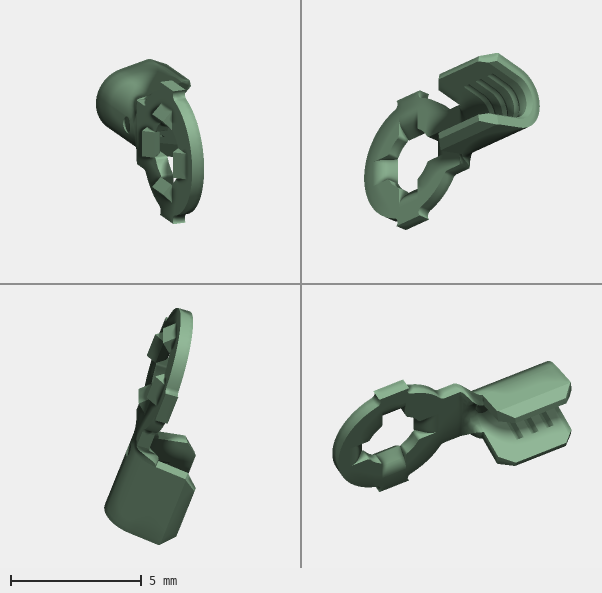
import cadquery as cq
import math


quarter_turns = (0, 90, 180, 270)

sheet = 0.5
ring_radius = 2.415
neck_half_width = 1.275
neck_end_x = -2.82
tab_half_width = 0.58
total_height = 5.33
tab_half_height = total_height / 2
outline_fillet = 0.22

hole_radius = 1.185
hole_fillet = 0.15

tooth_width = 1.02
tooth_height = 0.385
tooth_apex = 1.46
tooth_bend_angle = math.radians(45)
tooth_bend_radius = 0.15
tooth_base_end = tooth_apex + tooth_height / math.tan(tooth_bend_angle)
tooth_root = tooth_base_end + tooth_bend_radius * math.tan(tooth_bend_angle / 2)

total_length = 9.14
barrel_length = 3.185
barrel_radius = 1.285
flank_angle = math.radians(12.5)
flank_length = 1.715
tip_corner_length = 0.5
tip_bevel_length = 0.455
tip_bevel_depth = 0.25
mouth_chamfer_depth = 0.13
mouth_chamfer_length = 0.22
barrel_start_x = ring_radius - total_length
barrel_end_x = barrel_start_x + barrel_length

groove_count = 3
groove_width = 0.3
groove_depth = 0.11
groove_pitch = 0.65
first_groove_x = barrel_start_x + 0.74
groove_reach = 0.83

dimple_radius = 0.325
dimple_depth = 0.09
dimple_x = barrel_end_x - 0.28

blend_sections = 8


def fillet_beside_line(circle_radius, side, radius):
    """Fillet between a circle about the origin and the line u = side outside it.

    Returns the fillet centre and its tangent point on the circle, as (u, v)."""
    reach = circle_radius + radius
    centre = (side + radius, math.sqrt(reach**2 - (side + radius) ** 2))
    on_circle = (centre[0] * circle_radius / reach, centre[1] * circle_radius / reach)
    return centre, on_circle


def arc_middle(centre, start, end):
    """Middle point of the shorter arc about centre from start to end."""
    radius = math.dist(centre, start)
    u = start[0] + end[0] - 2 * centre[0]
    v = start[1] + end[1] - 2 * centre[1]
    length = math.hypot(u, v)
    return (centre[0] + radius * u / length, centre[1] + radius * v / length)


def extrude_back(sketch_wire, depth):
    """Extrude an XZ outline from y = 0 towards +Y."""
    return sketch_wire.extrude(-depth)


def make_lobe(fillet_centre, foot, arc_end, height):
    """Projection on a circle with a fillet arc on each side, from foot on the circle to arc_end."""
    middle = arc_middle(fillet_centre, foot, arc_end)
    outline = cq.Workplane("XZ").moveTo(0, 0).lineTo(*foot).threePointArc(middle, arc_end)
    if height > arc_end[1]:
        outline = outline.lineTo(arc_end[0], height).lineTo(-arc_end[0], height)
    outline = (
        outline.lineTo(-arc_end[0], arc_end[1])
        .threePointArc((-middle[0], middle[1]), (-foot[0], foot[1]))
        .close()
    )
    return extrude_back(outline, sheet)


def make_tab():
    """Tab on the ring whose fillets run on to its outer edge."""
    centre, foot = fillet_beside_line(ring_radius, tab_half_width, outline_fillet)
    rise = tab_half_height - centre[1]
    corner = (centre[0] - math.sqrt(outline_fillet**2 - rise**2), tab_half_height)
    return make_lobe(centre, foot, corner, tab_half_height)


def make_slot():
    """Straight slot that a tooth is bent out of, rounded where it meets the hole."""
    centre, foot = fillet_beside_line(hole_radius, tooth_width / 2, hole_fillet)
    return make_lobe(centre, foot, (tooth_width / 2, centre[1]), tooth_root)


def about_ring_axis(shape, degrees):
    return shape.rotate((0, 0, 0), (0, 1, 0), degrees)


def make_neck():
    """Neck with a fillet on each side where it meets the ring."""
    centre, foot = fillet_beside_line(ring_radius, neck_half_width, outline_fillet)
    start = (neck_half_width, centre[1])
    middle = arc_middle(centre, start, foot)
    outline = (
        cq.Workplane("XZ")
        .moveTo(0, 0)
        .lineTo(-foot[1], foot[0])
        .threePointArc((-middle[1], middle[0]), (-start[1], start[0]))
        .lineTo(neck_end_x, neck_half_width)
        .lineTo(neck_end_x, -neck_half_width)
        .lineTo(-start[1], -start[0])
        .threePointArc((-middle[1], -middle[0]), (-foot[1], -foot[0]))
        .close()
    )
    return extrude_back(outline, sheet)


def make_hole():
    """Round hole with a slot for each tooth."""
    hole = extrude_back(cq.Workplane("XZ").circle(hole_radius), sheet)
    for degrees in quarter_turns:
        hole = hole.union(about_ring_axis(make_slot(), degrees))
    return hole


def make_plate():
    plate = extrude_back(cq.Workplane("XZ").circle(ring_radius), sheet).union(make_neck())
    for degrees in (0, 180):
        plate = plate.union(about_ring_axis(make_tab(), degrees))
    return plate.cut(make_hole())


def make_tooth():
    """Finger bent forward from the end of the +Z slot; the square finger end leaves a sharp ridge."""
    across = (math.cos(tooth_bend_angle), math.sin(tooth_bend_angle))
    bend_centre = (-tooth_bend_radius, tooth_root)

    def bend_point(radius):
        return (bend_centre[0] + radius * across[0], bend_centre[1] - radius * across[1])

    front_root = (0, tooth_root)
    back_root = (sheet, tooth_root)
    front_bend = bend_point(tooth_bend_radius)
    back_bend = bend_point(tooth_bend_radius + sheet)
    ridge = (-tooth_height, tooth_apex)
    inner_edge = (ridge[0] + sheet * across[0], ridge[1] - sheet * across[1])
    return (
        cq.Workplane("YZ")
        .moveTo(*back_root)
        .threePointArc(arc_middle(bend_centre, back_root, back_bend), back_bend)
        .lineTo(*inner_edge)
        .lineTo(*ridge)
        .lineTo(*front_bend)
        .threePointArc(arc_middle(bend_centre, front_bend, front_root), front_root)
        .close()
        .extrude(tooth_width / 2, both=True)
    )


def flank_point(depth, along):
    """Point of the +Z flank in (y, z), at a depth below its outer face and a distance past the bend."""
    radius = barrel_radius - depth
    y = barrel_radius - radius * math.sin(flank_angle) + along * math.cos(flank_angle)
    z = radius * math.cos(flank_angle) + along * math.sin(flank_angle)
    return (y, z)


def mirrored(point):
    return (point[0], -point[1])


def u_outline(x, outer_depth, inner_depth, along):
    """U-shaped band across the barrel between two depths below the outer face."""
    outer_bend = flank_point(outer_depth, 0)
    inner_bend = flank_point(inner_depth, 0)
    outer_tip = flank_point(outer_depth, along)
    inner_tip = flank_point(inner_depth, along)
    return (
        cq.Workplane("YZ", origin=(x, 0, 0))
        .moveTo(*outer_tip)
        .lineTo(*outer_bend)
        .threePointArc((outer_depth, 0), mirrored(outer_bend))
        .lineTo(*mirrored(outer_tip))
        .lineTo(*mirrored(inner_tip))
        .lineTo(*mirrored(inner_bend))
        .threePointArc((inner_depth, 0), inner_bend)
        .lineTo(*inner_tip)
        .close()
    )


def make_inner_relief(sections, along):
    """Cutter into the inside of the barrel, ruled between (x, depth of cut) sections."""
    overlap = 0.1
    wires = [u_outline(x, sheet - depth, sheet + overlap, along).val() for x, depth in sections]
    return cq.Workplane(obj=cq.Solid.makeLoft(wires, True))


def make_mouth_chamfer():
    """Bevel along the inner edge of the open barrel end."""
    sections = [(barrel_start_x, mouth_chamfer_depth), (barrel_start_x + mouth_chamfer_length, 0)]
    return make_inner_relief(sections, flank_length)


def make_groove(x):
    """V-shaped serration around the inside of the barrel."""
    sections = [(x - groove_width / 2, 0), (x, groove_depth), (x + groove_width / 2, 0)]
    return make_inner_relief(sections, groove_reach)


def make_tip_bevel():
    """Wedge that thins the +Z flank from its outer face towards the tip."""
    return (
        cq.Workplane("YZ", origin=(barrel_start_x, 0, 0))
        .polyline(
            [
                flank_point(0, flank_length - tip_bevel_length),
                flank_point(-sheet, flank_length - tip_bevel_length),
                flank_point(-sheet, flank_length),
                flank_point(tip_bevel_depth, flank_length),
            ]
        )
        .close()
        .extrude(barrel_length)
    )


def make_tip_corner(end_x, inward):
    """45 degree cut across one tip corner of the +Z flank, square to the flank."""
    cut_depth = 3 * sheet
    flank_plane = cq.Plane(
        origin=(end_x, *flank_point(-sheet, flank_length)),
        xDir=(1, 0, 0),
        normal=(0, math.sin(flank_angle), -math.cos(flank_angle)),
    )
    return (
        cq.Workplane(flank_plane)
        .polyline([(0, 0), (inward * tip_corner_length, 0), (0, tip_corner_length)])
        .close()
        .extrude(cut_depth)
    )


def make_barrel():
    barrel = u_outline(barrel_start_x, 0, sheet, flank_length).extrude(barrel_length)
    barrel = barrel.cut(make_mouth_chamfer())
    tip_cuts = [
        make_tip_bevel(),
        make_tip_corner(barrel_start_x, 1),
        make_tip_corner(barrel_end_x, -1),
    ]
    for tip in tip_cuts:
        barrel = barrel.cut(tip).cut(tip.mirror("XY"))
    for index in range(groove_count):
        barrel = barrel.cut(make_groove(first_groove_x + index * groove_pitch))
    return barrel


def blend_section(fraction):
    """Wire across the blend: a bent strip that flattens smoothly as fraction goes from 0 to 1."""
    bend_y, bend_z = flank_point(0, 0)
    ease = (1 - math.cos(math.pi * fraction)) / 2
    x = barrel_end_x + fraction * (neck_end_x - barrel_end_x)
    half_width = bend_z + ease * (neck_half_width - bend_z)
    half_angle = 2 * math.atan2(bend_y * (1 - ease), half_width)
    rise = half_width * math.tan(half_angle / 2)
    outer = (rise, half_width)
    inner = (rise + sheet * math.cos(half_angle), half_width - sheet * math.sin(half_angle))
    section = cq.Workplane("YZ", origin=(x, 0, 0)).moveTo(*outer)
    if fraction < 1:
        section = (
            section.threePointArc((0, 0), mirrored(outer))
            .lineTo(*mirrored(inner))
            .threePointArc((sheet, 0), inner)
        )
    else:
        section = section.lineTo(*mirrored(outer)).lineTo(*mirrored(inner)).lineTo(*inner)
    return section.close().val()


def make_blend():
    sections = [blend_section(index / blend_sections) for index in range(blend_sections + 1)]
    return cq.Workplane(obj=cq.Solid.makeLoft(sections))


def make_dimple_disc(y):
    """Disc as thick as the dimple is deep, starting at the given y."""
    disc = extrude_back(cq.Workplane("XZ").circle(dimple_radius), dimple_depth)
    return disc.translate((dimple_x, y, 0))


result = make_plate().union(make_blend()).union(make_barrel())
for quarter_turn in quarter_turns:
    result = result.union(about_ring_axis(make_tooth(), quarter_turn))
result = result.cut(make_dimple_disc(0)).union(make_dimple_disc(sheet))